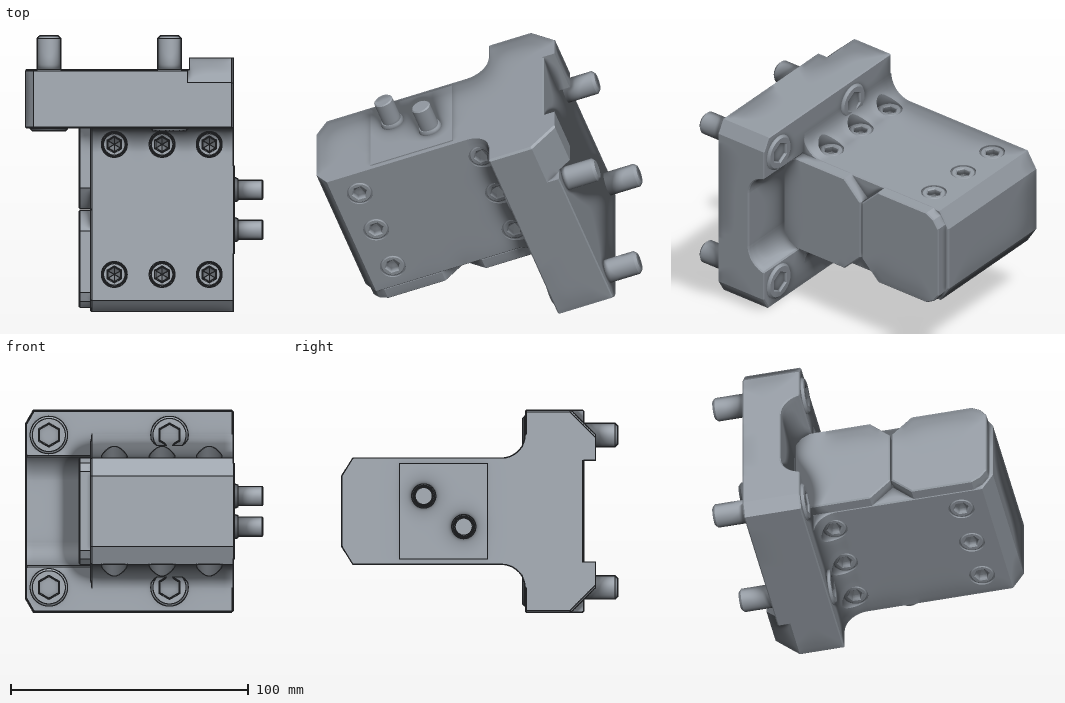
import cadquery as cq
import math


edge_break = 0.52

plate_width = 87.3
plate_height = 85.0
plate_thickness = 24.6
plate_corner_x = 3.4
plate_corner_z = 5.8
plate_right_bevel = 0.8

key_start_x = 68.9
key_relief_start_x = 68.2
key_inner_z = 21.3
key_projection = 5.0
key_slope = 10.4

body_left = 27.4
body_half_height = 22.4
body_length = 77.1
nose_length = 4.6
nose_drop = 7.5
root_radius = 10.0

recess_half_height = 23.0
recess_floor_half = 13.2
recess_depth = 8.1

pad_left = 22.5
pad_rear = 7.0
pad_front = -75.4
pad_split = -34.2
pad_gap = 0.6
pad_inner_corner = 8.7
pad_corner_steps = (2.2, 3.8)
pad_corner_total = (5.8, 6.4)

bolt_x = (9.9, 60.5)
bolt_z = 32.0
bolt_head_radius = 7.9
bolt_head_height = 1.2
bolt_head_bevel = 0.9
bolt_socket_flats = 8.8
bolt_shank_radius = 5.0
bolt_end_y = 38.9
bolt_tip_bevel = 1.2

screw_x = (37.4, 57.4, 77.3)
screw_y = (-6.8, -61.5)
screw_hole_radius = 5.5
screw_head_radius = 5.0
screw_head_bevel = 0.5
screw_sink = 0.2
screw_groove_depth = 0.6
screw_socket_flats = 6.1
screw_socket_depth = 2.8
screw_point_depth = 1.7
screw_point_flats = 0.1

socket_bevel = 0.5

cover_front = -52.8
cover_rear = -15.9
cover_half_height = 20.1
cover_thickness = 0.5
connector_places = ((-42.7, 6.4), (-25.9, -6.5))
connector_base_radius = 5.1
connector_shoulder_radius = 4.5
connector_base_length = 2.1
connector_bulge_run = 0.6
connector_bulge_drop = 0.3
connector_radius = 4.1
connector_end_x = 99.9
connector_tip_bevel = 0.5

half_height = plate_height / 2
plate_back = plate_thickness
key_back = plate_back + key_projection


def extrude_x(outline, x0, x1):
    """Extrude a closed (Y, Z) outline from x0 to x1."""
    return outline.extrude(x1 - x0).translate((x0, 0, 0))


def extrude_y(points, y0, y1):
    """Extrude a closed (X, Z) polygon from y0 to y1."""
    return cq.Workplane("XZ").polyline(points).close().extrude(y0 - y1).translate((0, y0, 0))


def both_sides(shape):
    """Add the mirror image of a shape below Z = 0."""
    return shape.union(shape.mirror("XY"))


def hexagon(flats):
    """Hexagon corners, with two corners on the second sketch axis."""
    radius = flats / math.sqrt(3)
    angles = [math.radians(30 + 60 * i) for i in range(6)]
    return [(radius * math.cos(a), radius * math.sin(a)) for a in angles]


def hex_loft(bottom_flats, top_flats, bottom_z, top_z):
    """Hexagonal frustum between two heights."""
    return (
        cq.Workplane("XY")
        .workplane(offset=bottom_z)
        .polyline(hexagon(bottom_flats))
        .close()
        .workplane(offset=top_z - bottom_z)
        .polyline(hexagon(top_flats))
        .close()
        .loft(ruled=True)
    )


def make_socket(mouth_flats, depth):
    """Hexagon socket sunk below Z = 0, with a bevelled mouth."""
    flats = mouth_flats - 2 * socket_bevel
    mouth = hex_loft(flats, mouth_flats, -socket_bevel, 0)
    return mouth.union(hex_loft(flats, flats, -depth, -socket_bevel))


def make_plate():
    outline = [
        (0, half_height - plate_corner_z),
        (plate_corner_x, half_height),
        (plate_width, half_height),
    ]
    outline += [(x, -z) for x, z in reversed(outline)]
    plate = extrude_y(outline, 0, plate_back)

    rise = recess_half_height - recess_floor_half
    radius = (rise**2 + recess_depth**2) / (2 * recess_depth)
    half_angle = math.asin(rise / radius) / 2
    middle_z = recess_floor_half + radius * math.sin(half_angle)
    middle_y = recess_depth - radius * (1 - math.cos(half_angle))
    recess = (
        cq.Workplane("YZ")
        .moveTo(0, recess_half_height)
        .threePointArc((middle_y, middle_z), (recess_depth, recess_floor_half))
        .lineTo(recess_depth, -recess_floor_half)
        .threePointArc((middle_y, -middle_z), (0, -recess_half_height))
        .close()
    )
    plate = plate.cut(extrude_x(recess, 0, body_left))
    recess_sides = cq.selectors.BoxSelector(
        (-edge_break, edge_break, -recess_half_height),
        (edge_break, plate_back - edge_break, recess_half_height),
    )
    plate = plate.faces("<X").edges(recess_sides).chamfer(edge_break)
    plate = plate.faces("<Y or >Y").edges().chamfer(edge_break)

    key = extrude_y(
        [
            (key_start_x, key_inner_z),
            (key_start_x, half_height),
            (plate_width, half_height),
            (plate_width, key_inner_z),
        ],
        plate_back / 2,
        key_back,
    )
    slope = extrude_x(
        cq.Workplane("YZ").polyline(
            [
                (key_back - key_slope, half_height),
                (key_back, half_height - key_slope),
                (key_back, half_height),
            ]
        ).close(),
        key_relief_start_x,
        plate_width,
    )
    plate = plate.union(both_sides(key)).cut(both_sides(slope))

    for side in (1, -1):
        bevelled = cq.selectors.BoxSelector(
            (plate_width - edge_break, edge_break, side * (half_height - key_slope)),
            (plate_width + edge_break, key_back - edge_break, side * (half_height + edge_break)),
        )
        plate = plate.faces(">X").edges(bevelled).chamfer(plate_right_bevel)
    return plate


def make_body():
    root_z = body_half_height + root_radius
    nose_z = body_half_height - nose_drop
    arc_offset = root_radius * (1 - math.sqrt(0.5))
    outline = (
        cq.Workplane("YZ")
        .moveTo(recess_depth, root_z)
        .lineTo(0, root_z)
        .threePointArc((-arc_offset, body_half_height + arc_offset), (-root_radius, body_half_height))
        .lineTo(nose_length - body_length, body_half_height)
        .lineTo(-body_length, nose_z)
        .lineTo(-body_length, -nose_z)
        .lineTo(nose_length - body_length, -body_half_height)
        .lineTo(-root_radius, -body_half_height)
        .threePointArc((-arc_offset, -body_half_height - arc_offset), (0, -root_z))
        .lineTo(recess_depth, -root_z)
        .close()
    )
    body = extrude_x(outline, body_left, plate_width)
    return body.faces("<X").edges().chamfer(edge_break)


def make_pad(outer_y, inner_y):
    """Jaw pad between outer_y, with two-facet corners, and inner_y, with 45 degree corners."""
    outward = math.copysign(1, outer_y - inner_y)
    facet_drop, facet_run = pad_corner_steps
    total_drop, total_run = pad_corner_total
    corner_y = outer_y - outward * total_run
    outline = [
        (inner_y, body_half_height - pad_inner_corner),
        (inner_y + outward * pad_inner_corner, body_half_height),
        (corner_y, body_half_height),
        (corner_y + outward * facet_run, body_half_height - facet_drop),
        (outer_y, body_half_height - total_drop),
    ]
    outline += [(y, -z) for y, z in reversed(outline)]
    pad = extrude_x(cq.Workplane("YZ").polyline(outline).close(), pad_left, body_left)
    return pad.faces("<X").edges().chamfer(edge_break)


def make_bolt(x, z):
    shank = (
        cq.Workplane("XZ")
        .circle(bolt_shank_radius)
        .extrude(-bolt_end_y)
        .faces(">Y")
        .chamfer(bolt_tip_bevel)
    )
    head = (
        cq.Workplane("XZ")
        .circle(bolt_head_radius)
        .extrude(bolt_head_height)
        .faces("<Y")
        .chamfer(bolt_head_bevel)
    )
    socket = (
        make_socket(bolt_socket_flats, bolt_head_height)
        .rotate((0, 0, 0), (1, 0, 0), 90)
        .translate((0, -bolt_head_height, 0))
    )
    return head.cut(socket).union(shank).translate((x, 0, z))


def make_screw_cut(x, y):
    """Counterbore above a sunk screw head, the gap around the head, and its pyramid-ended socket."""
    head_z = body_half_height - screw_sink
    groove_z = head_z - screw_groove_depth
    socket_z = head_z - screw_socket_depth
    head = (
        cq.Workplane("XY")
        .circle(screw_head_radius)
        .extrude(screw_groove_depth)
        .faces(">Z")
        .chamfer(screw_head_bevel)
        .translate((0, 0, groove_z))
    )
    hole = (
        cq.Workplane("XY")
        .workplane(offset=groove_z)
        .circle(screw_hole_radius)
        .extrude(half_height - groove_z)
    )
    socket = make_socket(screw_socket_flats, screw_socket_depth).translate((0, 0, head_z))
    floor_flats = screw_socket_flats - 2 * socket_bevel
    point = hex_loft(screw_point_flats, floor_flats, socket_z - screw_point_depth, socket_z)
    return hole.cut(head).union(socket).union(point).translate((x, y, 0))


def make_cover():
    outline = cq.Workplane("YZ").polyline(
        [
            (cover_front, -cover_half_height),
            (cover_rear, -cover_half_height),
            (cover_rear, cover_half_height),
            (cover_front, cover_half_height),
        ]
    ).close()
    return extrude_x(outline, plate_width, plate_width + cover_thickness)


def make_connector(y, z):
    base_end = plate_width + connector_base_length
    bulge_x = plate_width + connector_bulge_run * connector_base_length
    shoulder_drop = connector_base_radius - connector_shoulder_radius
    bulge_radius = connector_base_radius - connector_bulge_drop * shoulder_drop
    profile = (
        cq.Workplane("XY")
        .moveTo(plate_width, 0)
        .lineTo(plate_width, connector_base_radius)
        .threePointArc((bulge_x, bulge_radius), (base_end, connector_shoulder_radius))
        .lineTo(base_end, connector_radius)
        .lineTo(connector_end_x - connector_tip_bevel, connector_radius)
        .lineTo(connector_end_x, connector_radius - connector_tip_bevel)
        .lineTo(connector_end_x, 0)
        .close()
    )
    return profile.revolve(360, (0, 0), (1, 0)).translate((0, y, z))


result = make_plate().union(make_body())
result = result.union(make_pad(pad_rear, pad_split + pad_gap / 2))
result = result.union(make_pad(pad_front, pad_split - pad_gap / 2))

for x in screw_x:
    for y in screw_y:
        result = result.cut(both_sides(make_screw_cut(x, y)))

for x in bolt_x:
    for z in (bolt_z, -bolt_z):
        result = result.union(make_bolt(x, z))

result = result.union(make_cover())
for y, z in connector_places:
    result = result.union(make_connector(y, z))